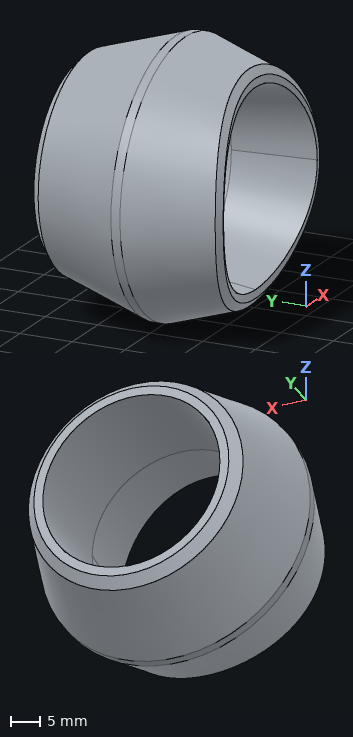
import cadquery as cq

length = 36.35
rim_radius = 25.4
rim_width = 1.75
weld_shoulder_radius = 20.15
weld_face_radius = 18.3
weld_bevel_length = 1.8
weld_cone_length = 16.4

saddle_radius = 59.95
saddle_crest = 3.05
saddle_chamfer = 1.2

mouth_radius = 18.3
bore_radius = 16.6
taper_end = 15.75

cone_overrun = 2.55

rim_back = length - weld_bevel_length - weld_cone_length
rim_front = rim_back - rim_width
cone_slope = (rim_radius - weld_shoulder_radius) / weld_cone_length
front_radius = rim_radius - cone_slope * (rim_front + cone_overrun)

profile_plane = cq.Plane(origin=(0, 0, 0), xDir=(0, 0, 1), normal=(-1, 0, 0))


def make_body():
    """Double cone with a narrow cylindrical rim and a bevelled weld end."""
    return (
        cq.Workplane(profile_plane)
        .moveTo(0, -cone_overrun)
        .lineTo(front_radius, -cone_overrun)
        .lineTo(rim_radius, rim_front)
        .lineTo(rim_radius, rim_back)
        .lineTo(weld_shoulder_radius, length - weld_bevel_length)
        .lineTo(weld_face_radius, length)
        .lineTo(0, length)
        .close()
        .revolve(360, (0, 0, 0), (0, 1, 0))
    )


def make_pipe():
    """Pipe whose surface forms the saddle."""
    return (
        cq.Workplane("XY")
        .center(0, saddle_crest - saddle_radius)
        .circle(saddle_radius)
        .extrude(2 * rim_radius, both=True)
    )


def mouth_semi_axis(saddle_height):
    """Half-width of the taper at Y = -cone_overrun that gives mouth_radius at saddle_height."""
    taper_slope = (mouth_radius - bore_radius) / (taper_end - saddle_height)
    return bore_radius + taper_slope * (taper_end + cone_overrun)


def make_bore():
    """Taper from a slightly elliptical mouth to a circle, followed by a straight bore."""
    mouth_plane = cq.Plane(origin=(0, -cone_overrun, 0), xDir=(1, 0, 0), normal=(0, 1, 0))
    taper = (
        cq.Workplane(mouth_plane)
        .ellipse(mouth_semi_axis(0), mouth_semi_axis(saddle_crest))
        .workplane(offset=cone_overrun + taper_end)
        .circle(bore_radius)
        .loft(ruled=True)
    )
    return taper.faces(">Y").workplane().circle(bore_radius).extrude(length - taper_end)


body = make_body().cut(make_pipe())
body = body.faces("%CYLINDER").faces("<Y").edges().chamfer(saddle_chamfer)
result = body.cut(make_bore())